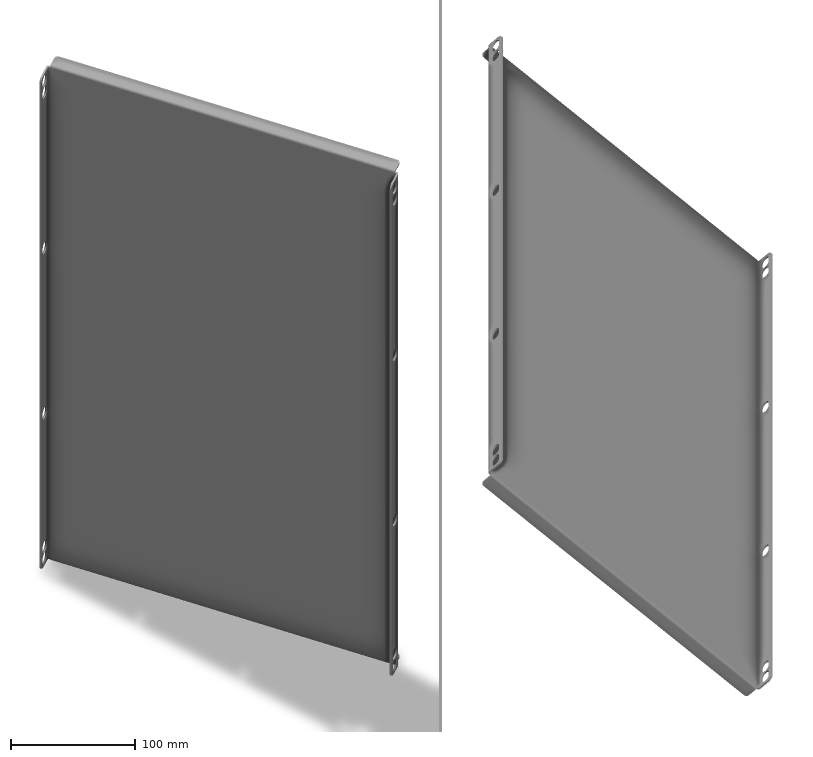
import cadquery as cq

HEIGHT = 598.0
WIDTH = 306.0
DEPTH = 27.0

SHEET = 1.5
INNER_BEND = 0.5
OUTER_BEND = INNER_BEND + SHEET

SIDE_DEPTH = 16.0
SIDE_HEIGHT = 594.5
SIDE_CORNER_RADIUS = 5.0
END_WIDTH = 300.0
END_CORNER_RADIUS = 3.0

SLOT_WIDTH = 8.5
SLOT_LENGTH = 12.5
SLOT_SETBACK = 7.0
SLOT_HEIGHTS = (-288.0, -274.5, -113.0, 87.0, 274.5, 288.0)

FRONT = -DEPTH / 2
BACK = DEPTH / 2
WEB_BACK = FRONT + SIDE_DEPTH
WEB_FRONT = WEB_BACK - SHEET
FLAT_HEIGHT = HEIGHT - 2 * OUTER_BEND


def box(width, y_start, y_end, height):
    """Box centred in X and Z between two Y positions."""
    return cq.Workplane("XY").box(width, y_end - y_start, height).translate((0, (y_start + y_end) / 2, 0))


def side_channel():
    """Web with two front-facing side flanges and rounded bends."""
    outer = box(WIDTH, FRONT, WEB_BACK, SIDE_HEIGHT).edges("|Z and >Y").fillet(OUTER_BEND)
    inner = box(WIDTH - 2 * SHEET, FRONT, WEB_FRONT, SIDE_HEIGHT).edges("|Z and >Y").fillet(INNER_BEND)
    channel = outer.cut(inner).edges("|X and <Y").fillet(SIDE_CORNER_RADIUS)
    end_relief = box(END_WIDTH, FRONT, WEB_BACK, HEIGHT).cut(box(END_WIDTH, FRONT, WEB_BACK, FLAT_HEIGHT))
    return channel.cut(end_relief)


def end_channel():
    """Web with back-facing top and bottom flanges and rounded bends."""
    outer = box(END_WIDTH, WEB_FRONT, BACK, HEIGHT).edges("|X and <Y").fillet(OUTER_BEND)
    inner = box(END_WIDTH, WEB_BACK, BACK, HEIGHT - 2 * SHEET).edges("|X and <Y").fillet(INNER_BEND)
    return outer.cut(inner).edges("|Z and >Y").fillet(END_CORNER_RADIUS)


def side_slots():
    """Upright slot cutters spanning both flanges."""
    slot_y = FRONT + SLOT_SETBACK
    centres = [(slot_y, height) for height in SLOT_HEIGHTS]
    return (
        cq.Workplane("YZ")
        .pushPoints(centres)
        .slot2D(SLOT_LENGTH, SLOT_WIDTH, 90)
        .extrude(WIDTH, both=True)
    )


result = side_channel().union(end_channel()).cut(side_slots())